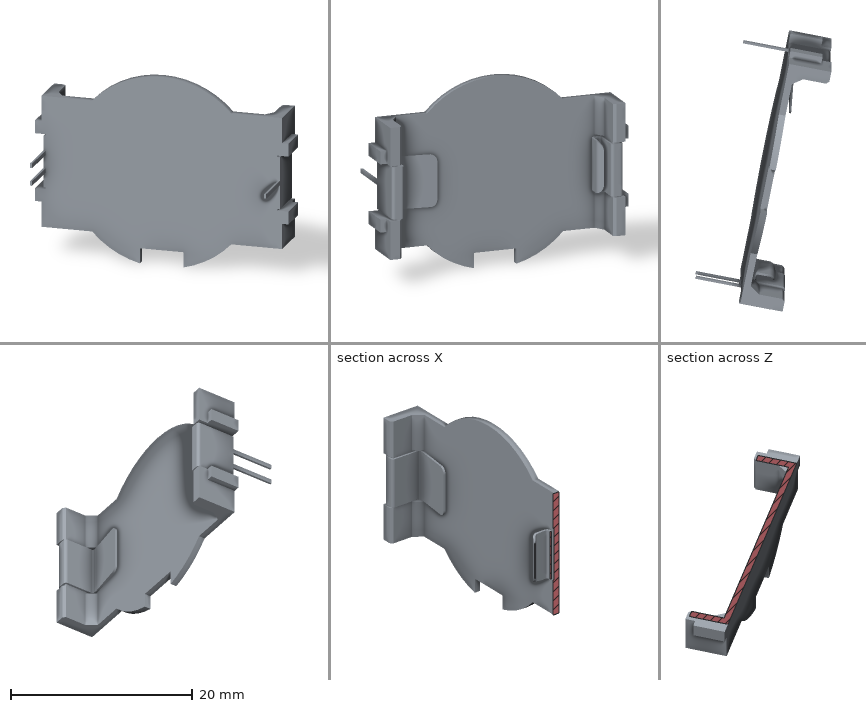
import cadquery as cq
import math


plate_thickness = 0.75
plate_half_length = 13.9
plate_half_width = 7.575
disc_radius = 11.045
notch_width = 5.03
notch_floor_z = -9.0

wall_height = 4.75
wall_inner_x = 12.48
wall_chamfer = 0.3
wall_foot_x = 11.71
wall_foot_height = 1.85

tab_outer_x = 14.635
tab_height = 3.62
tab_outer_z = 4.66

seat_half_width = 3.175
seat_outer_x = 13.4

sheet = 0.25
contact_width = 6.0
saddle_inner_radius = 0.11
pin_length = 5.08
pin_width = 0.52
pin_pitch = 2.03

spring_bottom_y = 1.04
spring_face_x = 11.17
spring_bend_radius = 0.375
spring_upright_end_y = 2.73
spring_top_radius = 0.6
spring_top_angle = 60
spring_tip_length = 0.32
spring_corner_radius = 1.1

tongue_bend_radius = 0.3
tongue_rise_x = 11.7
tongue_rise_radius = 1.0
tongue_angle = 7
tongue_length = 4.49
tongue_corner_radius = 0.75

tip_cut_reach = 1.2

seat_height = wall_height - sheet
saddle_radius = saddle_inner_radius + sheet / 2
outer_leg_x = seat_outer_x + sheet / 2
inner_leg_x = wall_inner_x - sheet / 2
saddle_y = wall_height - sheet / 2


def block(x_range, y_range, z_range):
    """Axis-aligned box from its limits along X, Y and Z."""
    size = [high - low for low, high in (x_range, y_range, z_range)]
    corner = cq.Vector(x_range[0], y_range[0], z_range[0])
    return cq.Workplane(obj=cq.Solid.makeBox(*size, corner))


def extrude_along_z(outline, width):
    """Extrude a closed XY outline symmetrically about Z = 0."""
    return outline.extrude(width / 2, both=True)


def base_plate():
    depth = (0, plate_thickness)
    plate = block(
        (-plate_half_length, plate_half_length), depth, (-plate_half_width, plate_half_width)
    )
    disc = cq.Workplane("XZ").circle(disc_radius).extrude(-plate_thickness)
    notch = block((-notch_width / 2, notch_width / 2), depth, (-disc_radius, notch_floor_z))
    return plate.union(disc).cut(notch)


def end_wall():
    """The +X end: wall with a sloped foot and the guide tabs, before the seat is cut."""
    outline = (
        cq.Workplane("XY")
        .moveTo(plate_half_length, 0)
        .lineTo(plate_half_length, wall_height)
        .lineTo(wall_inner_x + wall_chamfer, wall_height)
        .lineTo(wall_inner_x, wall_height - wall_chamfer)
        .lineTo(wall_inner_x, wall_foot_height)
        .lineTo(wall_foot_x, plate_thickness)
        .lineTo(wall_foot_x, 0)
        .close()
    )
    wall = extrude_along_z(outline, 2 * plate_half_width)
    tabs = block((plate_half_length, tab_outer_x), (0, tab_height), (-tab_outer_z, tab_outer_z))
    return wall.union(tabs)


def seat_cuts():
    """Space cleared around the +X seat: outside the wall, and all that stands on the plate."""
    across = (-seat_half_width, seat_half_width)
    outside = block((seat_outer_x, tab_outer_x), (0, wall_height), across)
    above_plate = block((wall_foot_x, seat_outer_x), (plate_thickness, wall_height), across)
    return outside.union(above_plate)


def seat_wall():
    """Thin wall that the +X contact straddles, rounded to fit inside the fold."""
    wall = block((wall_inner_x, seat_outer_x), (0, seat_height), (-seat_half_width, seat_half_width))
    return wall.edges("|Z and >Y").fillet(saddle_inner_radius)


def make_housing():
    body = base_plate()
    for side in (0, 180):
        axis = ((0, 0, 0), (0, 1, 0), side)
        body = body.union(end_wall().rotate(*axis))
        body = body.cut(seat_cuts().rotate(*axis))
        body = body.union(seat_wall().rotate(*axis))
    return body


def tip_corners(tip, direction, radius):
    """Waste outside the two rounded corners of a strip that ends at tip, square to its sheet."""
    inset = radius * (1 - math.sqrt(0.5))
    edge = contact_width / 2
    along = cq.Vector(math.cos(direction), math.sin(direction), 0)
    sheet_plane = cq.Plane(tip, along, along.cross(cq.Vector(0, 0, 1)))
    corner = (
        cq.Workplane(sheet_plane)
        .moveTo(-radius, edge)
        .threePointArc((-inset, edge - inset), (0, edge - radius))
        .lineTo(0, edge)
        .close()
        .extrude(tip_cut_reach, both=True)
    )
    return corner.union(corner.mirror("XY"))


def bent_strip(start, heading, moves, tip_radius=0):
    """Sheet strip following a centreline of ("straight", length) and ("bend", radius, angle) moves.

    Angles are in degrees, positive for a left turn; start is an XY point.
    A tip radius rounds the two corners of the far end.
    """
    half = sheet / 2
    position = cq.Vector(*start, 0)
    direction = math.radians(heading)

    def left_of(angle):
        return cq.Vector(-math.sin(angle), math.cos(angle), 0)

    edges = {half: [], -half: []}
    first_end = [position + left_of(direction) * offset for offset in edges]
    for kind, amount, *turn in moves:
        begin_position, begin_direction = position, direction
        if kind == "straight":
            position = position + cq.Vector(math.cos(direction), math.sin(direction), 0) * amount
        else:
            angle = math.radians(turn[0])
            signed_radius = math.copysign(amount, angle)
            center = position + left_of(direction) * signed_radius
            middle_direction = direction + angle / 2
            direction += angle
            position = center - left_of(direction) * signed_radius
        for offset, side in edges.items():
            begin = begin_position + left_of(begin_direction) * offset
            end = position + left_of(direction) * offset
            if kind == "straight":
                side.append(cq.Edge.makeLine(begin, end))
            else:
                middle = center + left_of(middle_direction) * (offset - signed_radius)
                side.append(cq.Edge.makeThreePointArc(begin, middle, end))
    last_end = [position + left_of(direction) * offset for offset in edges]
    caps = [cq.Edge.makeLine(*first_end), cq.Edge.makeLine(*last_end)]
    outline = cq.Wire.assembleEdges(edges[half] + caps[1:] + edges[-half][::-1] + caps[:1])
    strip = extrude_along_z(cq.Workplane("XY").add(outline).toPending(), contact_width)
    if tip_radius:
        strip = strip.cut(tip_corners(position, direction, tip_radius))
    return strip


def make_contact(inner_leg_end_y, spring_moves, tip_radius, pin_places):
    """Contact on the -X end: saddle over the seat wall, spring inside it, solder pins below."""
    fold_y = saddle_y - saddle_radius
    saddle_moves = [
        ("straight", fold_y),
        ("bend", saddle_radius, -90),
        ("straight", outer_leg_x - inner_leg_x - 2 * saddle_radius),
        ("bend", saddle_radius, -90),
        ("straight", fold_y - inner_leg_end_y),
    ]
    saddle = bent_strip((-outer_leg_x, 0), 90, saddle_moves)
    spring = bent_strip((-inner_leg_x, inner_leg_end_y), -90, spring_moves, tip_radius)
    contact = saddle.union(spring)
    for z in pin_places:
        pin = block(
            (-outer_leg_x - sheet / 2, -outer_leg_x + sheet / 2),
            (-pin_length, 0),
            (z - pin_width / 2, z + pin_width / 2),
        )
        contact = contact.union(pin)
    return contact


def make_spring_contact():
    """Left contact: a hooked spring that presses on the rim of the cell."""
    first_bend_y = spring_bottom_y + sheet / 2 + spring_bend_radius
    upright_x = spring_face_x + sheet / 2
    moves = [
        ("bend", spring_bend_radius, 90),
        ("straight", inner_leg_x - upright_x - 2 * spring_bend_radius),
        ("bend", spring_bend_radius, 90),
        ("straight", spring_upright_end_y - first_bend_y),
        ("bend", spring_top_radius, spring_top_angle),
        ("straight", spring_tip_length),
    ]
    pin_places = (-pin_pitch / 2, pin_pitch / 2)
    return make_contact(first_bend_y, moves, spring_corner_radius, pin_places)


def make_tongue_contact():
    """Right contact: a tongue that rises from the plate under the cell."""
    bend_y = plate_thickness + sheet / 2 + tongue_bend_radius
    moves = [
        ("bend", tongue_bend_radius, 90),
        ("straight", inner_leg_x - tongue_bend_radius - tongue_rise_x),
        ("bend", tongue_rise_radius, tongue_angle),
        ("straight", tongue_length),
    ]
    contact = make_contact(bend_y, moves, tongue_corner_radius, (0,))
    return contact.rotate((0, 0, 0), (0, 1, 0), 180)


housing = make_housing()
spring_contact = make_spring_contact()
tongue_contact = make_tongue_contact()

bodies = (housing, spring_contact, tongue_contact)
result = cq.Compound.makeCompound([body.solids().val() for body in bodies])